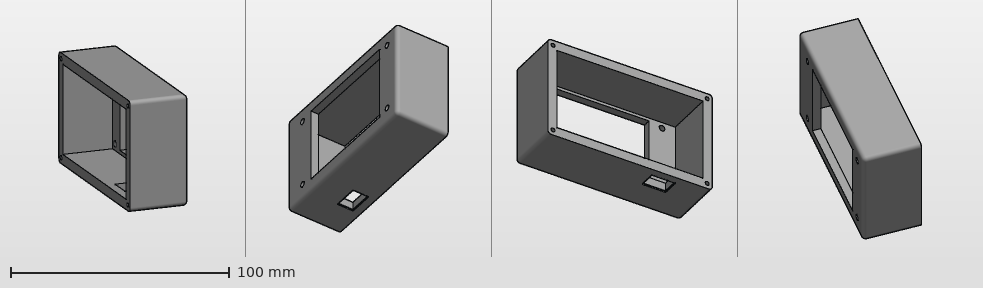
import cadquery as cq

length = 88.0
depth = 28.5
height = 52.8
edge_radius = 2.0

cavity_length = 78.0
cavity_height = 42.9
panel_thickness = 4.05

window_length = 55.0
window_height = 39.6
window_x = -2.55
window_z = 0.1

mount_diameter = 2.9
mount_pitch_x = 67.9
mount_pitch_z = 36.7
mount_x = -2.0

screw_diameter = 2.0
screw_depth = 10.0
screw_pitch_x = 82.4
screw_pitch_z = 47.2

slot_length = 12.0
slot_width = 8.0
slot_x = 20.4
slot_y = -5.9

step_margin = 0.3
step_depth = 0.7

front_y = -depth / 2
cavity_depth = depth - panel_thickness
wall_z = (height - cavity_height) / 2


def block(size_x, size_z, x=0.0, z=0.0, size_y=depth):
    """Rectangular block running back from the open face."""
    return (
        cq.Workplane("XY")
        .box(size_x, size_y, size_z)
        .translate((x, front_y + size_y / 2, z))
    )


def hole_pattern(diameter, pitch_x, pitch_z, size_y=depth, x=0.0):
    """Four cylinders on a rectangle, running back from the open face."""
    return (
        cq.Workplane("XZ", origin=(x, front_y, 0))
        .rect(pitch_x, pitch_z, forConstruction=True)
        .vertices()
        .circle(diameter / 2)
        .extrude(-size_y)
    )


def bottom_pocket(size_x, size_y, rise):
    """Rectangular block rising from the bottom face at the slot centre."""
    return (
        cq.Workplane("XY", origin=(slot_x, slot_y, -height / 2))
        .rect(size_x, size_y)
        .extrude(rise)
    )


body = block(length, height).edges("|Y or >Y").fillet(edge_radius)

cavity = block(cavity_length, cavity_height, size_y=cavity_depth)
window = block(window_length, window_height, window_x, window_z)
mount_holes = hole_pattern(mount_diameter, mount_pitch_x, mount_pitch_z, x=mount_x)
screw_holes = hole_pattern(screw_diameter, screw_pitch_x, screw_pitch_z, screw_depth)
slot = bottom_pocket(slot_length, slot_width, wall_z)
slot_step = bottom_pocket(slot_length + 2 * step_margin, slot_width + 2 * step_margin, step_depth)

result = body.cut(cavity).cut(window).cut(mount_holes).cut(screw_holes).cut(slot).cut(slot_step)